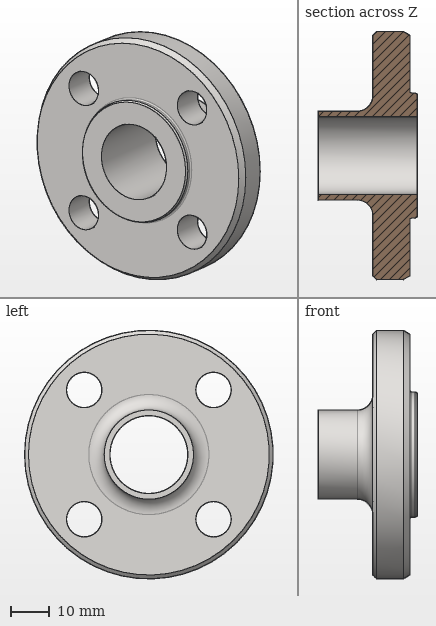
import cadquery as cq

total_length = 25.5
neck_length = 14.0
raised_face_height = 1.85
flange_end = total_length - raised_face_height

flange_diameter = 64.0
neck_diameter = 23.0
bore_diameter = 20.0
raised_face_diameter = 32.3

neck_fillet = 4.0
flange_chamfer = 1.0
flange_face_bevel_length = 1.7
raised_face_bevel_length = 0.6
raised_face_bevel_depth = 0.3
raised_face_root_fillet = 0.4

bolt_hole_diameter = 9.0
bolt_circle_diameter = 47.05
bolt_hole_count = 4
first_bolt_angle = 45.0


def arc_center_offset(radius):
    """Distance from a quarter arc's center to its midpoint along each axis."""
    return radius * 0.5 ** 0.5


def make_body():
    """Revolve the neck, flange and raised face about the X axis."""
    flange_r = flange_diameter / 2
    neck_r = neck_diameter / 2
    bore_r = bore_diameter / 2
    face_r = raised_face_diameter / 2
    neck_offset = arc_center_offset(neck_fillet)
    root_offset = arc_center_offset(raised_face_root_fillet)
    neck_arc_x = neck_length - neck_fillet
    neck_arc_r = neck_r + neck_fillet
    root_arc_x = flange_end + raised_face_root_fillet
    root_arc_r = face_r + raised_face_root_fillet

    return (
        cq.Workplane("XY")
        .moveTo(0, bore_r)
        .lineTo(0, neck_r)
        .lineTo(neck_arc_x, neck_r)
        .threePointArc(
            (neck_arc_x + neck_offset, neck_arc_r - neck_offset),
            (neck_length, neck_arc_r),
        )
        .lineTo(neck_length, flange_r - flange_chamfer)
        .lineTo(neck_length + flange_chamfer, flange_r)
        .lineTo(flange_end - flange_face_bevel_length, flange_r)
        .lineTo(flange_end, flange_r - flange_chamfer)
        .lineTo(flange_end, root_arc_r)
        .threePointArc(
            (root_arc_x - root_offset, root_arc_r - root_offset),
            (root_arc_x, face_r),
        )
        .lineTo(total_length - raised_face_bevel_length, face_r)
        .lineTo(total_length, face_r - raised_face_bevel_depth)
        .lineTo(total_length, bore_r)
        .close()
        .revolve(360, (0, 0, 0), (1, 0, 0))
    )


def make_bolt_holes():
    """Cylinders along X, spaced evenly on the bolt circle."""
    return (
        cq.Workplane("YZ")
        .polarArray(bolt_circle_diameter / 2, first_bolt_angle, 360, bolt_hole_count)
        .circle(bolt_hole_diameter / 2)
        .extrude(total_length)
    )


result = make_body().cut(make_bolt_holes())